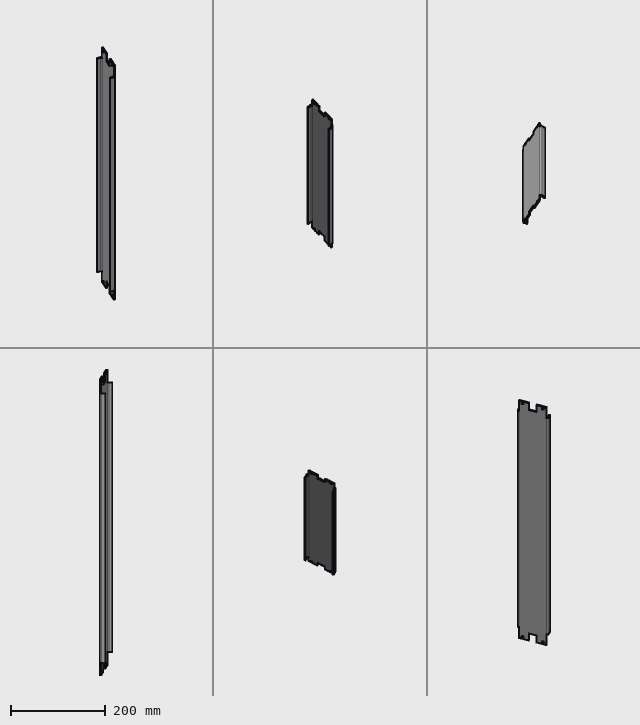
import cadquery as cq

length = 669.0
width = 70.0
depth = 13.0
thickness = 3.0

bend_inner_radius = 3.0
bend_outer_radius = 4.0

end_tab_length = 29.5
flange_length = length - 2 * end_tab_length
web_width = width - 2 * bend_outer_radius

notch_width = 17.5
notch_depth = 19.5
hole_diameter = 5.0
hole_spacing = 46.0
hole_end_distance = 5.5

back_y = depth / 2
web_center_y = back_y - thickness / 2


def make_web():
    """Flat plate spanning the full length, as wide as the flat outer face between the bends."""
    return cq.Workplane("XY").box(web_width, thickness, length).translate((0, web_center_y, 0))


def make_channel():
    """U-shaped section with rounded bends, open toward -Y."""
    outer = cq.Workplane("XY").box(width, depth, flange_length)
    outer = outer.edges("|Z and >Y").fillet(bend_outer_radius)
    inner = cq.Workplane("XY").box(width - 2 * thickness, depth, flange_length)
    inner = inner.edges("|Z and >Y").fillet(bend_inner_radius)
    return outer.cut(inner.translate((0, -thickness, 0)))


def make_notches():
    """Rectangular cutters centered on each end of the web."""
    return (
        cq.Workplane("XZ")
        .rarray(7, length, 1, 2)
        .rect(notch_width, 2 * notch_depth)
        .extrude(depth, both=True)
    )


def make_holes():
    """Through-hole cutters near the four corners of the web."""
    return (
        cq.Workplane("XZ")
        .rarray(hole_spacing, length - 2 * hole_end_distance, 2, 2)
        .circle(hole_diameter / 2)
        .extrude(depth, both=True)
    )


result = make_web().union(make_channel()).cut(make_notches()).cut(make_holes())